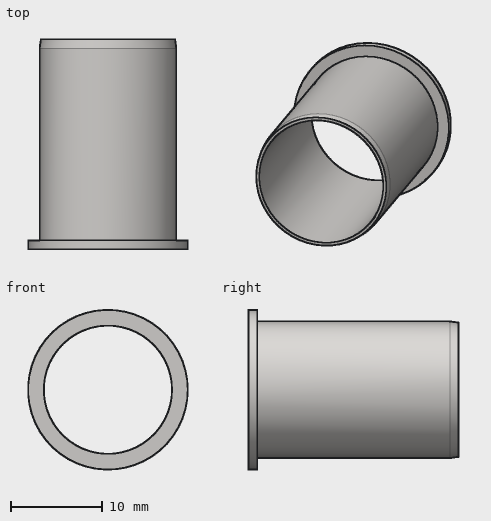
import cadquery as cq

length = 23.0
flange_diameter = 17.5
flange_thickness = 1.0
body_diameter = 15.0
bore_diameter = 14.0
taper_length = 1.0
taper_inset = 0.14

flange_radius = flange_diameter / 2
body_radius = body_diameter / 2
bore_radius = bore_diameter / 2

wall_section = (
    cq.Workplane("XY")
    .moveTo(bore_radius, 0)
    .lineTo(flange_radius, 0)
    .lineTo(flange_radius, flange_thickness)
    .lineTo(body_radius, flange_thickness)
    .lineTo(body_radius, length - taper_length)
    .lineTo(body_radius - taper_inset, length)
    .lineTo(bore_radius, length)
    .close()
)

result = wall_section.revolve(360, (0, 0, 0), (0, 1, 0))